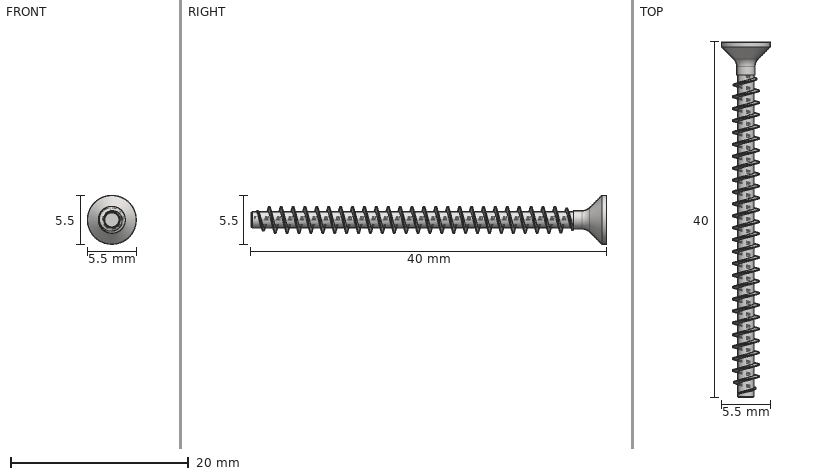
import cadquery as cq
import math

length = 40.0
head_radius = 2.75
head_rim = 0.5
cone_angle = math.radians(45)
shank_radius = 1.05
neck_fillet = 1.2
shank_end = 3.7
core_radius = 0.9
tip_chamfer = 0.1

first_crest = 3.8
last_crest = 38.65
crest_turns = 26
pitch = (last_crest - first_crest) / crest_turns
thread_radius = 1.5
crest_width = 0.1
foot_width = 0.4
foot_depth = 0.1
foot_radius = core_radius - foot_depth
start_radius = 1.2
run_in = 1.4
run_out_start = 38.0
run_out_end = 39.7
end_radius = 0.9
points_per_turn = 12


def make_body():
    """Revolve the head, neck, plain shank and core."""
    blend_drop = neck_fillet * (1 - math.cos(cone_angle))
    blend_length = neck_fillet * math.sin(cone_angle)
    cone_end_radius = shank_radius + blend_drop
    cone_end = head_rim + (head_radius - cone_end_radius) / math.tan(cone_angle)
    neck_end = cone_end + blend_length
    half_angle = cone_angle / 2
    blend_middle = (
        shank_radius + neck_fillet * (1 - math.cos(half_angle)),
        -neck_end + neck_fillet * math.sin(half_angle),
    )
    return (
        cq.Workplane("XY")
        .lineTo(head_radius, 0)
        .lineTo(head_radius, -head_rim)
        .lineTo(cone_end_radius, -cone_end)
        .threePointArc(blend_middle, (shank_radius, -neck_end))
        .lineTo(shank_radius, -shank_end)
        .lineTo(core_radius, -shank_end)
        .lineTo(core_radius, tip_chamfer - length)
        .lineTo(core_radius - tip_chamfer, -length)
        .lineTo(0, -length)
        .close()
        .revolve(360, (0, 0), (0, 1))
    )


def spiral_edge(start, end, axial_shift):
    """Right-handed spiral about Y between two (distance, radius) stations."""
    start_distance, start_crest = start
    end_distance, end_crest = end
    turns = (end_distance - start_distance) / pitch

    def point(fraction):
        distance = start_distance + fraction * (end_distance - start_distance)
        radius = start_crest + fraction * (end_crest - start_crest)
        angle = 2 * math.pi * (distance - first_crest) / pitch
        return cq.Vector(radius * math.sin(angle), axial_shift - distance, -radius * math.cos(angle))

    steps = math.ceil(turns * points_per_turn)
    return cq.Edge.makeSpline([point(step / steps) for step in range(steps + 1)])


def make_thread_section(start, end):
    """Solid tooth whose crest radius runs evenly from the start station to the end station."""
    foot_start = (start[0], foot_radius)
    foot_end = (end[0], foot_radius)
    corners = [
        spiral_edge(foot_start, foot_end, -foot_width / 2),
        spiral_edge(start, end, -crest_width / 2),
        spiral_edge(start, end, crest_width / 2),
        spiral_edge(foot_start, foot_end, foot_width / 2),
    ]
    neighbours = corners[1:] + corners[:1]
    faces = [cq.Face.makeRuledSurface(edge, other) for edge, other in zip(corners, neighbours)]
    for outline in (
        [edge.startPoint() for edge in corners],
        [edge.endPoint() for edge in corners],
    ):
        faces.append(cq.Face.makeFromWires(cq.Wire.makePolygon(outline, close=True)))
    return cq.Solid.makeSolid(cq.Shell.makeShell(faces))


thread_stations = [
    (first_crest, start_radius),
    (first_crest + run_in, thread_radius),
    (run_out_start, thread_radius),
    (run_out_end, end_radius),
]

result = make_body()
for section_start, section_end in zip(thread_stations, thread_stations[1:]):
    result = result.union(cq.Workplane(obj=make_thread_section(section_start, section_end)))